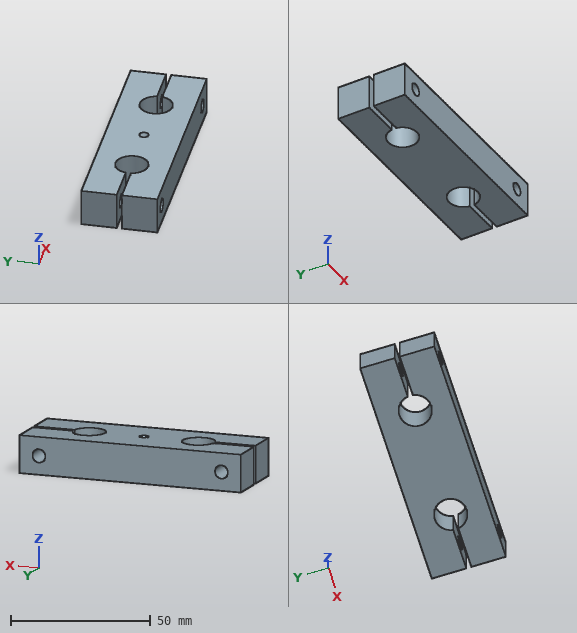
import cadquery as cq
import math

length = 85.0
width = 28.0
height = 14.0

bore_diameter = 12.0
bore_spacing = 42.0
slot_width = 1.9

screw_hole_diameter = 4.9
screw_hole_spacing = 70.0

center_mouth_diameter = 3.3
center_pilot_diameter = 1.6
center_cone_angle = 60.0
pilot_length = 1.5
drill_point_angle = 120.0


def make_block():
    return cq.Workplane("XY").box(length, width, height)


def cut_shaft_clamps(body):
    body = (
        body.faces(">Z")
        .workplane(origin=(0, 0, 0))
        .pushPoints([(-bore_spacing / 2, 0), (bore_spacing / 2, 0)])
        .hole(bore_diameter)
    )
    slot_length = (length - bore_spacing) / 2
    slot_center = (length - slot_length) / 2
    slots = (
        cq.Workplane("XY")
        .pushPoints([(-slot_center, 0), (slot_center, 0)])
        .box(slot_length, slot_width, height)
    )
    return body.cut(slots)


def cut_screw_holes(body):
    screw_holes = (
        cq.Workplane("XZ")
        .pushPoints([(-screw_hole_spacing / 2, 0), (screw_hole_spacing / 2, 0)])
        .circle(screw_hole_diameter / 2)
        .extrude(width / 2, both=True)
    )
    return body.cut(screw_holes)


def cone_height(radius_change, included_angle):
    return radius_change / math.tan(math.radians(included_angle / 2))


def cut_center_hole(body):
    mouth_radius = center_mouth_diameter / 2
    pilot_radius = center_pilot_diameter / 2
    top = height / 2
    pilot_top = top - cone_height(mouth_radius - pilot_radius, center_cone_angle)
    pilot_floor = pilot_top - pilot_length
    tip = pilot_floor - cone_height(pilot_radius, drill_point_angle)
    drill = (
        cq.Workplane("XZ")
        .moveTo(0, top)
        .lineTo(mouth_radius, top)
        .lineTo(pilot_radius, pilot_top)
        .lineTo(pilot_radius, pilot_floor)
        .lineTo(0, tip)
        .close()
        .revolve(360, (0, 0), (0, 1))
    )
    return body.cut(drill)


result = make_block()
result = cut_shaft_clamps(result)
result = cut_screw_holes(result)
result = cut_center_hole(result)